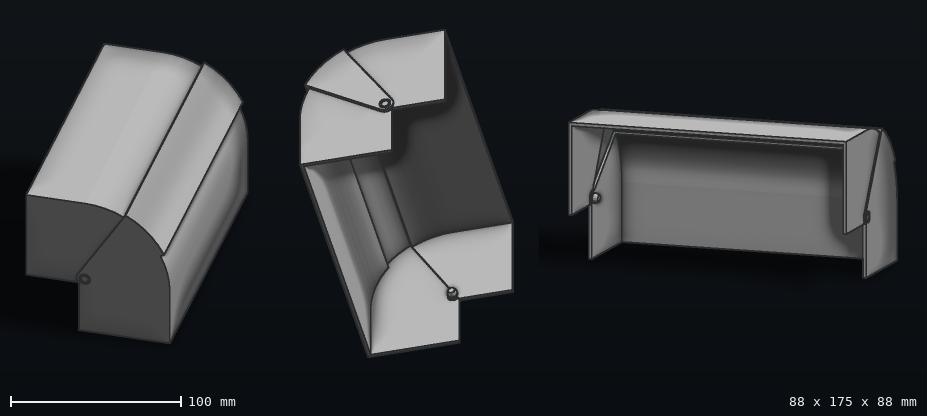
import cadquery as cq
import math


leg_length = 36.0
cover_radius = 52.0
cover_wall = 2.0
cover_width = 173.0
leg_edge_offset = 3.5
upper_edge_angle = 59.0
lower_edge_angle = 35.0
lower_edge_offset = 3.0
lower_lug_radius = 4.5

upper_edge_offset = leg_edge_offset * (
    math.cos(math.radians(upper_edge_angle)) - math.sin(math.radians(upper_edge_angle))
)

fan_width = 175.0
fan_wall = 2.0
fan_radius = 54.5
fan_lug_radius = 5.0
fan_direction = 45.0
fan_spread = 25.0

lower_cover_shift = (cover_width - fan_width) / 2

pin_head_radius = 3.35
pin_shaft_radius = 2.8
pin_lip_radius = 3.05
pin_tip_radius = 2.0
pin_length = 7.3
pin_lip_start = 4.1
pin_lip_thickness = 0.5
pin_dome_bulge = 0.2
pin_dimple_radius = 2.25
pin_dimple_depth = 0.2


def on_line(angle, offset, along):
    """XZ point `along` a line at `angle` that passes `offset` to the right of the pin axis."""
    a = math.radians(angle)
    return (
        along * math.cos(a) + offset * math.sin(a),
        along * math.sin(a) - offset * math.cos(a),
    )


def on_line_at_radius(angle, offset, radius):
    return on_line(angle, offset, math.sqrt(radius**2 - offset**2))


def polar(angle, radius):
    return on_line(angle, 0, radius)


def swapped(point):
    return (point[1], point[0])


def disc(radius, width):
    return cq.Workplane("XZ").circle(radius).extrude(width / 2, both=True)


def cover_block(radius, width, edge_angle, edge_offset):
    """Solid with a cover's side outline, its leg pointing to -X and centred on Y."""
    arc_end = on_line_at_radius(edge_angle, edge_offset, radius)
    arc_end_angle = math.degrees(math.atan2(arc_end[1], arc_end[0]))
    a = math.radians(edge_angle)
    along_to_leg_edge = (edge_offset * math.cos(a) - leg_edge_offset) / math.sin(a)
    return (
        cq.Workplane("XZ")
        .moveTo(-leg_length, -leg_edge_offset)
        .lineTo(-leg_length, radius)
        .lineTo(0, radius)
        .threePointArc(polar((90 + arc_end_angle) / 2, radius), arc_end)
        .lineTo(*on_line(edge_angle, edge_offset, along_to_leg_edge))
        .close()
        .extrude(width / 2, both=True)
    )


def cover(edge_angle, edge_offset, lug_radius=0):
    """U-section cover with its leg pointing to -X, open at the leg end, below and at its edge."""
    inner_radius = cover_radius - cover_wall
    inner_width = cover_width - 2 * cover_wall
    block = cover_block(cover_radius, cover_width, edge_angle, edge_offset)
    cavity = cover_block(inner_radius, inner_width, edge_angle, edge_offset)
    if lug_radius:
        block = block.union(disc(lug_radius, cover_width))
        cavity = cavity.union(disc(lug_radius, inner_width))
    return block.cut(cavity)


def lower_cover():
    """Cover turned over the X = Z plane, so that its leg points to -Z."""
    swap_x_and_z = (1, 0, -1)
    part = cover(90 - lower_edge_angle, lower_edge_offset, lower_lug_radius)
    return part.mirror(swap_x_and_z).translate((0, lower_cover_shift, 0))


def fan_block(radius, width):
    """Solid with the side outline of the fan, whose straight edges run tangent to its lug."""
    upper_edge = fan_direction + fan_spread / 2
    lug_start = on_line(upper_edge, -fan_lug_radius, 0)
    arc_start = on_line_at_radius(upper_edge, -fan_lug_radius, radius)
    return (
        cq.Workplane("XZ")
        .moveTo(*lug_start)
        .lineTo(*arc_start)
        .threePointArc(polar(fan_direction, radius), swapped(arc_start))
        .lineTo(*swapped(lug_start))
        .threePointArc(polar(fan_direction, -fan_lug_radius), lug_start)
        .close()
        .extrude(width / 2, both=True)
    )


def fan():
    return fan_block(fan_radius, fan_width).cut(fan_block(fan_radius - fan_wall, fan_width - 2 * fan_wall))


def pin_blank(side):
    """Pin without its dimple, on the -Y (-1) or +Y (+1) side: head, shaft, lip and domed tip."""
    outer = fan_width / 2
    shaft = outer - fan_wall
    lip = outer - pin_lip_start
    dome = lip - pin_lip_thickness
    tip = outer - pin_length
    dome_middle_radius = (pin_lip_radius + pin_tip_radius) / 2 + pin_dome_bulge
    return (
        cq.Workplane("XY")
        .moveTo(0, side * outer)
        .lineTo(pin_head_radius, side * outer)
        .lineTo(pin_head_radius, side * shaft)
        .lineTo(pin_shaft_radius, side * shaft)
        .lineTo(pin_shaft_radius, side * lip)
        .lineTo(pin_lip_radius, side * lip)
        .lineTo(pin_lip_radius, side * dome)
        .threePointArc((dome_middle_radius, side * (dome + tip) / 2), (pin_tip_radius, side * tip))
        .lineTo(0, side * tip)
        .close()
        .revolve(360, (0, 0, 0), (0, 1, 0))
    )


def pin(side):
    dimple = (
        cq.Workplane("XZ", origin=(0, side * fan_width / 2, 0))
        .circle(pin_dimple_radius)
        .extrude(side * pin_dimple_depth)
    )
    return pin_blank(side).cut(dimple)


sides = (-1, 1)

fan_and_lower_cover = lower_cover().union(fan(), clean=False)

upper_cover = cover(upper_edge_angle, upper_edge_offset).cut(fan_and_lower_cover)

for side in sides:
    upper_cover = upper_cover.cut(pin_blank(side))
    fan_and_lower_cover = fan_and_lower_cover.cut(pin_blank(side), clean=False)

pins = [pin(side) for side in sides]

result = cq.Compound.makeCompound(
    [
        *upper_cover.vals(),
        *fan_and_lower_cover.vals(),
        *[one_pin.val() for one_pin in pins],
    ]
)